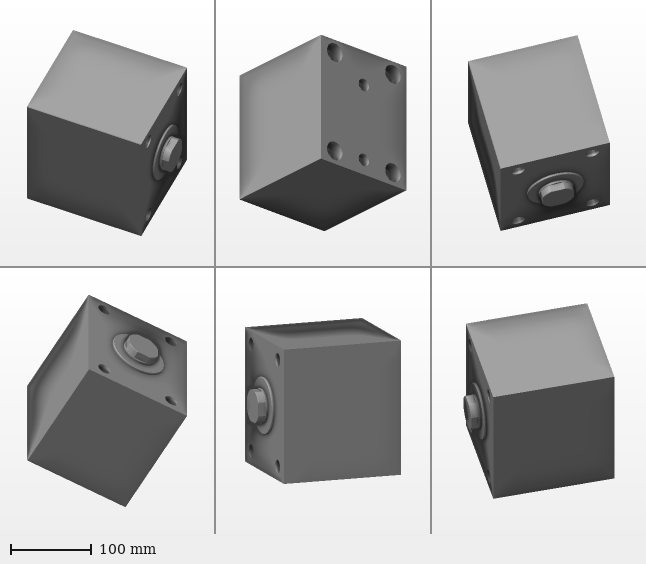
import cadquery as cq

TOTAL_LENGTH = 170.0
BLOCK_LENGTH = 154.5
BLOCK_WIDTH = 140.0
BLOCK_HEIGHT = 170.0
EDGE_CHAMFER = 0.7

MOUNT_SPACING_Y = 95.0
MOUNT_SPACING_Z = 135.0
MOUNT_DIAMETER = 17.0
MOUNT_BORE_DIAMETER = 25.0
MOUNT_BORE_DEPTH = 17.0

UPPER_PORT_Z = 37.9
LOWER_PORT_Z = -65.0
PORT_DIAMETER = 9.0
PORT_DEPTH = 25.5
PORT_BORE_DIAMETER = 16.7
PORT_BORE_DEPTH = 10.0

FLANGE_DIAMETER = 72.0
FLANGE_THICKNESS = 3.0
FLANGE_CHAMFER = 0.7

COLLAR_DIAMETER = 44.0
COLLAR_LENGTH = 6.1
COLLAR_CHAMFER = 0.3
ROD_END_DIAMETER = COLLAR_DIAMETER - 2 * COLLAR_CHAMFER
ROD_END_CHAMFER = 0.5
FLATS_ACROSS = 39.6
ROD_END_LENGTH = TOTAL_LENGTH - BLOCK_LENGTH - COLLAR_LENGTH


def drill(diameter, depth, points):
    """Round cutters entering the -X face at (y, z) points."""
    return cq.Workplane("YZ").pushPoints(points).circle(diameter / 2).extrude(depth)


def make_block():
    block = cq.Workplane("YZ").rect(BLOCK_WIDTH, BLOCK_HEIGHT).extrude(BLOCK_LENGTH)
    block = block.faces("<Y").edges("|X").chamfer(EDGE_CHAMFER)

    mount_points = [
        (side_y * MOUNT_SPACING_Y / 2, side_z * MOUNT_SPACING_Z / 2)
        for side_y in (-1, 1)
        for side_z in (-1, 1)
    ]
    block = block.cut(drill(MOUNT_DIAMETER, BLOCK_LENGTH, mount_points))
    block = block.cut(drill(MOUNT_BORE_DIAMETER, MOUNT_BORE_DEPTH, mount_points))

    port_points = [(0, UPPER_PORT_Z), (0, LOWER_PORT_Z)]
    block = block.cut(drill(PORT_DIAMETER, PORT_DEPTH, port_points))
    return block.cut(drill(PORT_BORE_DIAMETER, PORT_BORE_DEPTH, port_points))


def chamfered_disc(start_x, diameter, length, chamfer):
    """Disc along +X from start_x with its outer +X rim chamfered."""
    disc = cq.Workplane("YZ", origin=(start_x, 0, 0)).circle(diameter / 2).extrude(length)
    return disc.faces(">X").chamfer(chamfer)


def make_flange():
    disc = chamfered_disc(BLOCK_LENGTH, FLANGE_DIAMETER, FLANGE_THICKNESS, FLANGE_CHAMFER)
    return disc.faces(">X").workplane().hole(COLLAR_DIAMETER)


def make_rod():
    collar_end_x = BLOCK_LENGTH + COLLAR_LENGTH
    collar = chamfered_disc(BLOCK_LENGTH, COLLAR_DIAMETER, COLLAR_LENGTH, COLLAR_CHAMFER)
    round_end = chamfered_disc(collar_end_x, ROD_END_DIAMETER, ROD_END_LENGTH, ROD_END_CHAMFER)
    square_bar = (
        cq.Workplane("YZ", origin=(collar_end_x, 0, 0))
        .rect(FLATS_ACROSS, FLATS_ACROSS)
        .extrude(ROD_END_LENGTH)
    )
    return collar.union(round_end.intersect(square_bar))


block = make_block()
flange = make_flange()
rod = make_rod()

result = cq.Compound.makeCompound([block.val(), flange.val(), rod.val()])